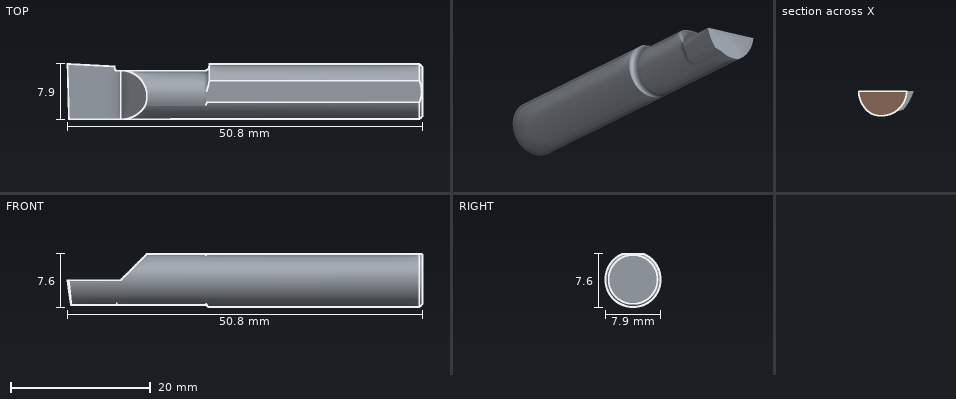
import cadquery as cq

length = 50.8
shank_radius = 3.95
flat_height = 3.65
end_chamfer = 0.45

neck_radius = 3.65
neck_offset = -0.65
neck_end = 19.6
neck_fillet = 0.65

head_length = 6.8
head_back_width = 3.6
head_corner_fillet = 0.25
neck_side = neck_offset + neck_radius
relief_middle = (3.35, -1.5)
relief_end = (2.5, -2.75)
relief_bottom = (neck_offset, -neck_radius)
rake_height = -0.1
ramp_start = 7.6
ramp_angle_run = 1.0
front_relief = 0.45
front_skew = 0.2
clearance = 1.0


def shank():
    """Round bar with a chamfered rear end and a flat along its top."""
    body = cq.Workplane("YZ").circle(shank_radius).extrude(length)
    body = body.faces(">X").chamfer(end_chamfer)
    size = 2 * shank_radius
    above_flat = cq.Workplane("XY", origin=(0, 0, flat_height)).box(
        length, 2 * size, size, centered=(False, True, False)
    )
    return body.cut(above_flat)


def neck_envelope():
    """Solid of revolution about the neck axis, flaring to full size through a fillet."""
    outer = 2 * shank_radius
    shoulder = neck_end + neck_fillet
    return (
        cq.Workplane("XY", origin=(0, neck_offset, 0))
        .moveTo(0, 0)
        .lineTo(0, neck_radius)
        .lineTo(neck_end, neck_radius)
        .radiusArc((shoulder, neck_radius + neck_fillet), -neck_fillet)
        .lineTo(shoulder, outer)
        .lineTo(length, outer)
        .lineTo(length, 0)
        .close()
        .revolve(360, (0, 0, 0), (1, 0, 0))
    )


def head_envelope():
    """Plan of the head with its tapered cutting side, trimmed by the lower relief."""
    fillet_start = head_length + head_corner_fillet
    plan = (
        cq.Workplane("XY", origin=(0, 0, -shank_radius))
        .moveTo(0, -shank_radius)
        .lineTo(0, shank_radius)
        .lineTo(head_length, head_back_width)
        .lineTo(head_length, neck_side + head_corner_fillet)
        .radiusArc((fillet_start, neck_side), -head_corner_fillet)
        .lineTo(fillet_start, -shank_radius)
        .close()
        .extrude(2 * shank_radius)
    )
    section = (
        cq.Workplane("YZ")
        .moveTo(*relief_bottom)
        .lineTo(*relief_end)
        .threePointArc(relief_middle, (shank_radius, rake_height))
        .lineTo(shank_radius, shank_radius)
        .lineTo(-shank_radius, shank_radius)
        .lineTo(-shank_radius, relief_bottom[1])
        .close()
        .extrude(fillet_start)
    )
    return plan.intersect(section)


def rake_cut():
    """Clears the upper half of the head and ramps up to the neck."""
    top = shank_radius + clearance
    ramp_end = ramp_start + ramp_angle_run * (top - rake_height)
    return (
        cq.Workplane("XZ", origin=(0, 2 * shank_radius, 0))
        .polyline([
            (-clearance, rake_height),
            (ramp_start, rake_height),
            (ramp_end, top),
            (-clearance, top),
        ])
        .close()
        .extrude(4 * shank_radius)
    )


def front_cut():
    """Material ahead of the front face, which leans back downwards and towards -Y."""
    def slice_at(z, setback):
        corners = [
            cq.Vector(-clearance, shank_radius, z),
            cq.Vector(setback, shank_radius, z),
            cq.Vector(setback + front_skew, -shank_radius, z),
            cq.Vector(-clearance, -shank_radius, z),
        ]
        return cq.Wire.makePolygon(corners, close=True)

    lower = slice_at(-shank_radius, front_relief)
    upper = slice_at(rake_height, 0)
    return cq.Workplane(cq.Solid.makeLoft([lower, upper], True))


envelope = neck_envelope().union(head_envelope())
result = shank().intersect(envelope).cut(rake_cut()).cut(front_cut())